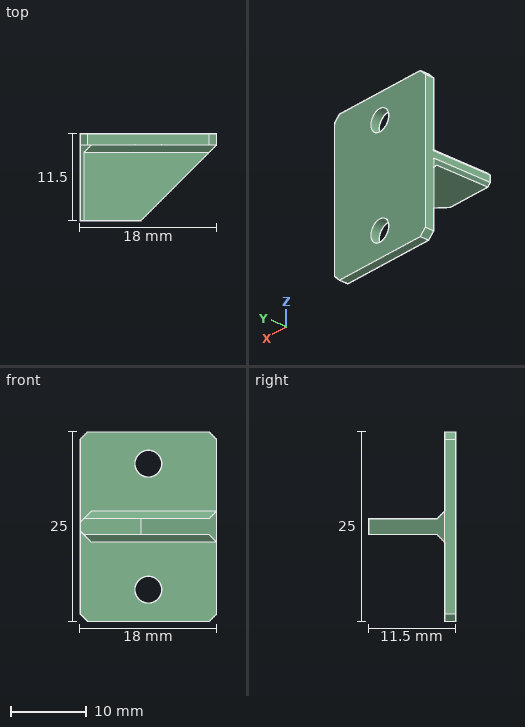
import cadquery as cq

plate_width = 18.0
plate_height = 25.0
plate_thickness = 1.5
plate_corner_chamfer = 1.0

hole_diameter = 3.5
hole_spacing = 16.6

rib_reach = 10.0
rib_thickness = 2.1
rib_tip_width = 8.0
rib_side_chamfer = 0.5
rib_root_flare = 1.0

left = -plate_width / 2
right = plate_width / 2
rib_half = rib_thickness / 2
root_half = rib_half + rib_root_flare


def make_plate():
    """Rectangular plate with chamfered corners and two through holes."""
    plate = (
        cq.Workplane("XY")
        .box(plate_width, plate_thickness, plate_height)
        .translate((0, plate_thickness / 2, 0))
        .edges("|Y")
        .chamfer(plate_corner_chamfer)
    )
    return (
        plate.faces("<Y")
        .workplane(origin=(0, 0, 0))
        .pushPoints([(0, -hole_spacing / 2), (0, hole_spacing / 2)])
        .hole(hole_diameter)
    )


def make_rib():
    """Rib shaped as the overlap of its cross-section, plan outline and front outline."""
    section = (
        cq.Workplane("YZ", origin=(left, 0, 0))
        .moveTo(0, -root_half)
        .lineTo(-rib_root_flare, -rib_half)
        .lineTo(-rib_reach, -rib_half)
        .lineTo(-rib_reach, rib_half)
        .lineTo(-rib_root_flare, rib_half)
        .lineTo(0, root_half)
        .close()
        .extrude(plate_width)
    )
    plan = (
        cq.Workplane("XY")
        .moveTo(left, 0)
        .lineTo(right, 0)
        .lineTo(left + rib_tip_width, -rib_reach)
        .lineTo(left, -rib_reach)
        .close()
        .extrude(root_half, both=True)
    )
    bevel_flat_half = rib_half - rib_side_chamfer
    bevel_length = root_half - bevel_flat_half
    front = (
        cq.Workplane("XZ")
        .moveTo(left, -bevel_flat_half)
        .lineTo(left + bevel_length, -root_half)
        .lineTo(right, -root_half)
        .lineTo(right, root_half)
        .lineTo(left + bevel_length, root_half)
        .lineTo(left, bevel_flat_half)
        .close()
        .extrude(rib_reach)
    )
    return section.intersect(plan).intersect(front)


result = make_plate().union(make_rib())